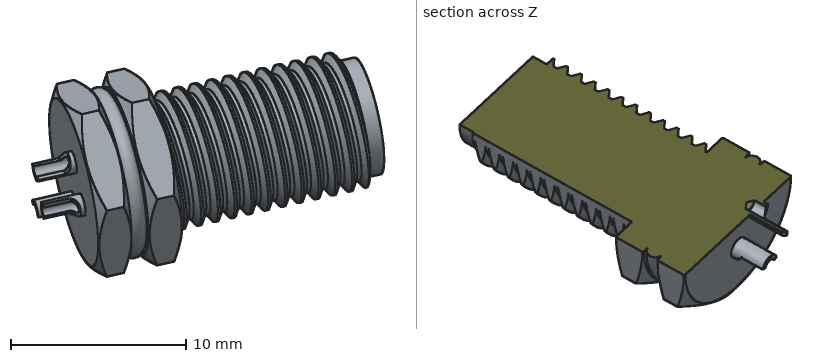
import cadquery as cq
import math


hex_across_flats = 10.0
hex_thickness = 2.0
hex_across_corners = hex_across_flats / math.cos(math.radians(30))
hex_face_radius = 4.92
hex_chamfer_angle = 30.0

ring_thickness = 1.0
ring_outer_radius = hex_across_flats / 2

thread_pitch = 1.0
thread_length = 11.5
thread_crest_radius = 4.0
thread_root_radius = 3.535
thread_crest_width = 0.15
thread_root_width = 0.75
thread_crest_phase = 0.22
barrel_flat_offset = 3.49
thread_embed = 0.15
thread_overrun_turns = 2

nose_radius = 3.43
nose_length = 1.0

pin_radius = 0.65
pin_length = 2.28
pin_circle_radius = 1.76
cup_hole_radius = 0.4
cup_cone_angle = 118.0
cup_hole_overdepth = 0.5
cup_collar_length = 0.29
cup_wall_slope = 11.0
cup_runout_radius = 0.9
pin_angles = (-90.0, 0.0, 90.0)

nut_start = hex_thickness + ring_thickness
thread_start = nut_start + hex_thickness
thread_end = thread_start + thread_length


def cylinder(radius, y_start, length):
    """Solid cylinder about Y running from y_start toward +Y."""
    return cq.Workplane("XZ", origin=(0, y_start, 0)).circle(radius).extrude(-length)


def hex_nut(y_start):
    """Hexagon with flats on +/-X, its corners turned down by a cone on both faces."""
    prism = (
        cq.Workplane("XZ", origin=(0, y_start, 0))
        .polygon(6, hex_across_corners)
        .extrude(-hex_thickness)
        .rotate((0, 0, 0), (0, 1, 0), 30)
    )
    corner_radius = hex_across_corners / 2
    chamfer_depth = (corner_radius - hex_face_radius) * math.tan(math.radians(hex_chamfer_angle))
    y_end = y_start + hex_thickness
    envelope = (
        cq.Workplane("XY")
        .moveTo(0, y_start)
        .lineTo(hex_face_radius, y_start)
        .lineTo(corner_radius, y_start + chamfer_depth)
        .lineTo(corner_radius, y_end - chamfer_depth)
        .lineTo(hex_face_radius, y_end)
        .lineTo(0, y_end)
        .close()
        .revolve(360, (0, 0, 0), (0, 1, 0))
    )
    return prism.intersect(envelope)


def sealing_ring():
    """Disc with a fully rounded rim, filling the gap between the hexes."""
    rim_radius = ring_thickness / 2
    rim_center = ring_outer_radius - rim_radius
    return (
        cq.Workplane("XY")
        .moveTo(0, hex_thickness)
        .lineTo(rim_center, hex_thickness)
        .threePointArc((ring_outer_radius, hex_thickness + rim_radius), (rim_center, nut_start))
        .lineTo(0, nut_start)
        .close()
        .revolve(360, (0, 0, 0), (0, 1, 0))
    )


def thread_ridge():
    """Right-handed helical ridge that overruns both ends of the threaded length."""
    overrun = thread_overrun_turns * thread_pitch
    helix_start = thread_start - overrun + thread_crest_phase
    helix_length = thread_length + 2 * overrun
    flank_slope = (thread_root_width - thread_crest_width) / 2 / (thread_crest_radius - thread_root_radius)
    inner_radius = thread_root_radius - thread_embed
    inner_half = thread_root_width / 2 + flank_slope * thread_embed
    crest_half = thread_crest_width / 2
    helix = cq.Wire.makeHelix(thread_pitch, helix_length, thread_root_radius)
    ridge = (
        cq.Workplane("XZ")
        .moveTo(inner_radius, -inner_half)
        .lineTo(thread_crest_radius, -crest_half)
        .lineTo(thread_crest_radius, crest_half)
        .lineTo(inner_radius, inner_half)
        .close()
        .sweep(cq.Workplane(obj=helix), isFrenet=True)
    )
    return (
        ridge.rotate((0, 0, 0), (1, 0, 0), -90)
        .rotate((0, 0, 0), (0, 1, 0), -90)
        .translate((0, helix_start, 0))
    )


def threaded_barrel():
    """Threaded cylinder with one flat along its -X side."""
    core = cylinder(thread_root_radius, thread_start, thread_length)
    band = cylinder(2 * thread_crest_radius, thread_start, thread_length)
    block_size = 2 * thread_crest_radius
    flat_keep = (
        cq.Workplane("XY")
        .box(2 * block_size, thread_length, 2 * block_size, centered=(False, False, True))
        .translate((-barrel_flat_offset, thread_start, 0))
    )
    return core.union(thread_ridge().intersect(band)).intersect(flat_keep)


def solder_pin(angle):
    """Round pin with its outward half cut away beyond a short collar."""
    return place_pin(cylinder(pin_radius, -pin_length, pin_length).cut(cup_opening()), angle)


def cup_opening():
    """Material removed from a pin: everything outward of two edges sloping away from its axis."""
    cut_start = -cup_collar_length
    edge_drop = pin_radius * math.tan(math.radians(cup_wall_slope))
    cut_depth = pin_radius + edge_drop
    runout_length = cup_runout_radius - math.sqrt(cup_runout_radius**2 - cut_depth**2)
    runout = (
        cq.Workplane("XY")
        .moveTo(-edge_drop, -pin_length)
        .lineTo(-edge_drop, cut_start - runout_length)
        .radiusArc((pin_radius, cut_start), cup_runout_radius)
        .lineTo(pin_radius, -pin_length)
        .close()
        .extrude(pin_radius, both=True)
    )
    wedge = (
        cq.Workplane("XZ")
        .moveTo(0, 0)
        .lineTo(-edge_drop, pin_radius)
        .lineTo(pin_radius, pin_radius)
        .lineTo(pin_radius, -pin_radius)
        .lineTo(-edge_drop, -pin_radius)
        .close()
        .extrude(pin_length)
    )
    return runout.intersect(wedge)


def cup_hole(angle):
    """Drilled pin hole, running past the rear hex face and ending in a conical tip."""
    cone_depth = cup_hole_radius / math.tan(math.radians(cup_cone_angle / 2))
    hole = (
        cq.Workplane("XY")
        .moveTo(0, -pin_length)
        .lineTo(cup_hole_radius, -pin_length)
        .lineTo(cup_hole_radius, cup_hole_overdepth)
        .lineTo(0, cup_hole_overdepth + cone_depth)
        .close()
        .revolve(360, (0, 0, 0), (0, 1, 0))
    )
    return place_pin(hole, angle)


def place_pin(body, angle):
    """Move a body built on the Y axis to its seat on the pin circle, its +X side facing outward."""
    return body.translate((pin_circle_radius, 0, 0)).rotate((0, 0, 0), (0, 1, 0), angle)


result = hex_nut(0).union(sealing_ring()).union(hex_nut(nut_start))
result = result.union(threaded_barrel())
result = result.union(cylinder(nose_radius, thread_end, nose_length))
for pin_angle in pin_angles:
    result = result.union(solder_pin(pin_angle)).cut(cup_hole(pin_angle))